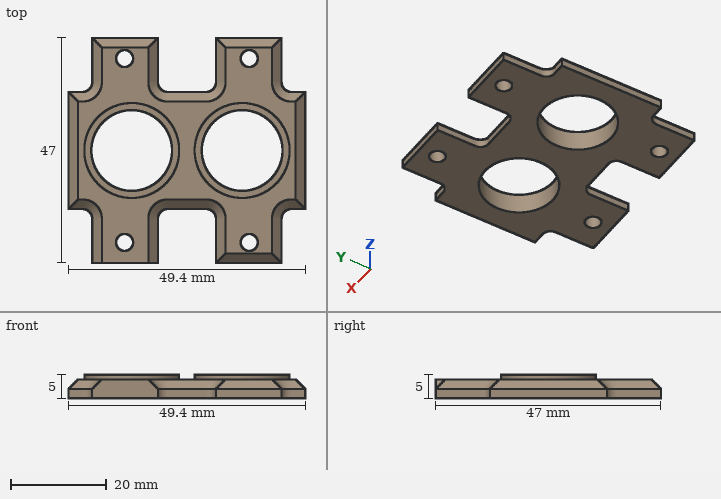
import cadquery as cq

body_length = 49.4
body_width = 24.45
leg_span = 47.0
leg_width = 13.75
leg_offset = 12.9
plate_thickness = 4.0
corner_radius = 2.0
bevel = 2.05

ring_offset = 11.5
ring_diameter = 19.8
bore_diameter = 16.8
ring_height = 1.0
total_height = plate_thickness + ring_height

hole_diameter = 3.5
hole_x = 13.0
hole_y = 19.15


def make_outline_plate():
    """Body and legs joined, with the inner corners rounded."""
    plate = cq.Workplane("XY").box(
        body_length, body_width, plate_thickness, centered=(True, True, False)
    )
    legs = (
        cq.Workplane("XY")
        .pushPoints([(-leg_offset, 0), (leg_offset, 0)])
        .rect(leg_width, leg_span)
        .extrude(plate_thickness)
    )
    inner_corners = [
        (side * leg_offset + edge * leg_width / 2, end * body_width / 2, plate_thickness / 2)
        for side in (-1, 1)
        for edge in (-1, 1)
        for end in (-1, 1)
    ]
    plate = plate.union(legs)
    for corner in inner_corners:
        plate = plate.edges(cq.selectors.NearestToPointSelector(corner)).fillet(corner_radius)
    return plate


def bevel_top(plate):
    """Bevel the top rim, leaving the -X leg square at its -Y end."""
    square_end = cq.selectors.NearestToPointSelector((-leg_offset, -leg_span / 2, plate_thickness))
    top_edges = cq.selectors.StringSyntaxSelector(">Z")
    return plate.edges(top_edges - square_end).chamfer(bevel)


bore_centers = [(-ring_offset, 0), (ring_offset, 0)]
hole_centers = [(x, y) for x in (-hole_x, hole_x) for y in (-hole_y, hole_y)]

plate = bevel_top(make_outline_plate())
rings = cq.Workplane("XY").pushPoints(bore_centers).circle(ring_diameter / 2).extrude(total_height)
bores = cq.Workplane("XY").pushPoints(bore_centers).circle(bore_diameter / 2).extrude(total_height)
holes = cq.Workplane("XY").pushPoints(hole_centers).circle(hole_diameter / 2).extrude(plate_thickness)

result = plate.union(rings).cut(bores).cut(holes)